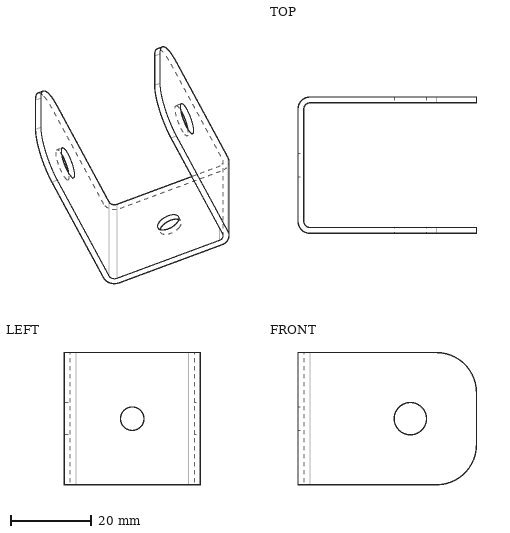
import cadquery as cq

length = 44.5
width = 34.0
height = 33.0

sheet_thickness = 1.5
inner_bend_radius = 1.5
outer_bend_radius = inner_bend_radius + sheet_thickness

arm_corner_radius = 10.0
arm_hole_diameter = 8.0
arm_hole_x = 28.0

web_hole_diameter = 5.8


def bent_block(x_start, block_width, bend_radius):
    """Full-height block from x_start to the arm ends, with its two web-side vertical edges rounded."""
    return (
        cq.Workplane("XY")
        .box(length - x_start, block_width, height, centered=(False, True, True))
        .edges("|Z and <X")
        .fillet(bend_radius)
        .translate((x_start, 0, 0))
    )


def channel():
    """Bent U channel: web at X = 0, arms running along +X."""
    outside = bent_block(0, width, outer_bend_radius)
    inside = bent_block(sheet_thickness, width - 2 * sheet_thickness, inner_bend_radius)
    return outside.cut(inside)


def round_arm_ends(body):
    """Round the top and bottom corners at the free end of both arms."""
    return body.edges("|Y and >X").fillet(arm_corner_radius)


def arm_holes():
    """Cylinder along Y that pierces both arms."""
    return (
        cq.Workplane("XZ")
        .center(arm_hole_x, 0)
        .circle(arm_hole_diameter / 2)
        .extrude(width / 2, both=True)
    )


def web_hole():
    """Cylinder along X that pierces the middle of the web."""
    return cq.Workplane("YZ").circle(web_hole_diameter / 2).extrude(sheet_thickness)


result = round_arm_ends(channel()).cut(arm_holes()).cut(web_hole())